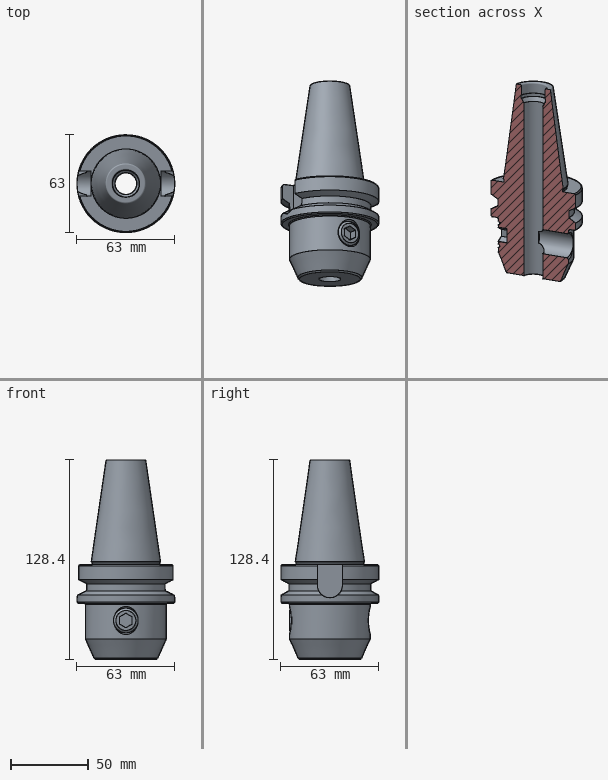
import cadquery as cq
import math

total_height = 128.4
taper_height = 65.4
taper_base_z = total_height - taper_height
flange_top_z = 61.0
groove_top_z = 51.4
groove_floor_top_z = 48.7
groove_floor_bottom_z = 44.2
groove_bottom_z = 41.3
flange_bottom_z = 36.1
nose_cone_top_z = 13.1

flange_radius = 31.52
groove_radius = 26.5
body_radius = 26.1
nose_radius = 20.7
taper_base_radius = 22.3
taper_ratio = 7 / 24
taper_top_radius = taper_base_radius - taper_height * taper_ratio / 2
neck_radius = 21.8
neck_step = 0.9

flange_chamfer = 0.8
flange_root_chamfer = 0.6
nose_chamfer = 1.0
taper_end_round = 0.9

bore_radius = 6.9
counterbore_radius = 8.6
counterbore_depth = 9.2
counterbore_cone_height = 2.8
relief_radius = 8.9
relief_height = 2.2
mouth_round = 1.0

slot_width = 16.0
slot_floor_x = 22.5
slot_bottom_z = 39.7

screw_z = 25.0
screw_radius = 8.0
countersink_radius = 9.0
screw_chamfer = 1.5
socket_width = 8.1
socket_depth = 6.4


def turned_body():
    """Holder body, revolved from its outer half profile."""
    profile = [
        (0, 0),
        (nose_radius - nose_chamfer, 0),
        (nose_radius, nose_chamfer),
        (body_radius, nose_cone_top_z),
        (body_radius, flange_bottom_z - flange_root_chamfer),
        (body_radius + flange_root_chamfer, flange_bottom_z),
        (flange_radius - flange_chamfer, flange_bottom_z),
        (flange_radius, flange_bottom_z + flange_chamfer),
        (flange_radius, groove_bottom_z),
        (groove_radius, groove_floor_bottom_z),
        (groove_radius, groove_floor_top_z),
        (flange_radius, groove_top_z),
        (flange_radius, flange_top_z - flange_chamfer),
        (flange_radius - flange_chamfer, flange_top_z),
        (neck_radius, flange_top_z),
        (neck_radius, taper_base_z - neck_step),
        (taper_base_radius, taper_base_z),
        (taper_top_radius, total_height),
        (0, total_height),
    ]
    body = cq.Workplane("XZ").polyline(profile).close().revolve(360, (0, 0, 0), (0, 1, 0))
    return body.faces(">Z").edges().fillet(taper_end_round)


def axial_bore():
    """Through bore, its counterbore with a relief groove and conical floor, and the rounded mouth."""
    floor_z = total_height - counterbore_depth
    profile = [
        (0, 0),
        (bore_radius, 0),
        (bore_radius, floor_z - counterbore_cone_height),
        (counterbore_radius, floor_z),
        (relief_radius, floor_z),
        (relief_radius, floor_z + relief_height),
        (counterbore_radius, floor_z + relief_height),
    ]
    outline = cq.Workplane("XZ").polyline(profile)
    outline = outline.lineTo(counterbore_radius, total_height - mouth_round)
    outline = outline.radiusArc((counterbore_radius + mouth_round, total_height), mouth_round)
    return outline.lineTo(0, total_height).close().revolve(360, (0, 0, 0), (0, 1, 0))


def drive_slot(side):
    """Round-bottomed slot, open at the top of the flange; side is +1 or -1 along X."""
    half_width = slot_width / 2
    arc_center_z = slot_bottom_z + half_width
    return (
        cq.Workplane("YZ", origin=(side * slot_floor_x, 0, 0))
        .moveTo(-half_width, flange_top_z)
        .lineTo(-half_width, arc_center_z)
        .threePointArc((0, slot_bottom_z), (half_width, arc_center_z))
        .lineTo(half_width, flange_top_z)
        .close()
        .extrude(side * flange_radius)
    )


def cross_hole():
    """Hole through the body along Y, countersunk at 45 degrees on both ends."""
    straight_y = body_radius - (countersink_radius - screw_radius)
    profile = [
        (0, -body_radius),
        (countersink_radius, -body_radius),
        (screw_radius, -straight_y),
        (screw_radius, straight_y),
        (countersink_radius, body_radius),
        (0, body_radius),
    ]
    hole = cq.Workplane("XY").polyline(profile).close().revolve(360, (0, 0, 0), (0, 1, 0))
    return hole.translate((0, 0, screw_z))


def clamping_screw():
    """Hex socket screw flush with the -Y side and ending at the axial bore."""
    socket_diameter = socket_width / math.cos(math.pi / 6)
    head_plane = cq.Workplane("XZ", origin=(0, -body_radius, screw_z))
    screw = head_plane.circle(screw_radius).extrude(-body_radius)
    screw = screw.faces("<Y").chamfer(screw_chamfer)
    socket = (
        head_plane.transformed(rotate=(0, 0, 90))
        .polygon(6, socket_diameter)
        .extrude(-socket_depth)
    )
    return screw.cut(socket)


result = turned_body().cut(cross_hole()).union(clamping_screw()).cut(axial_bore())
for slot_side in (-1, 1):
    result = result.cut(drive_slot(slot_side))